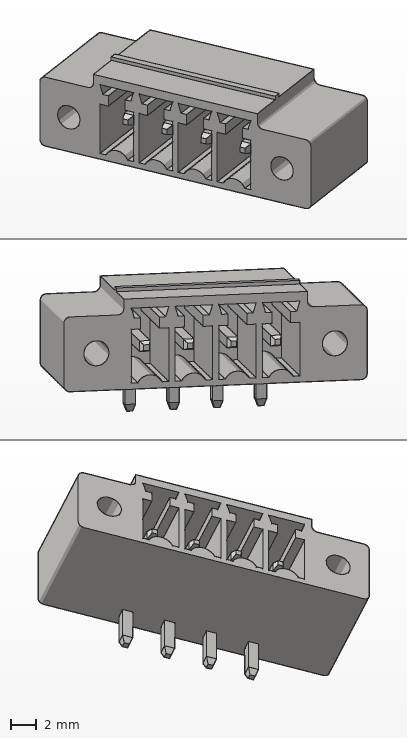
import cadquery as cq

PIN_COUNT = 4
PITCH = 3.5
PIN_WIDTH = 0.85
PIN_TIP_WIDTH = 0.45
PIN_TIP_LENGTH = 0.6
PIN_DROP = 3.4
LEG_TO_BACK = 1.17
PIN_FRONT_GAP = 1.4

LENGTH = 24.3
DEPTH = 9.2
FLANGE_HEIGHT = 6.0
CENTRE_LENGTH = 14.7
CENTRE_HEIGHT = 7.25
CORNER_RADIUS = 0.5
AXIS_HEIGHT = FLANGE_HEIGHT / 2

RIDGE_HEIGHT = 0.3
RIDGE_WIDTH = 0.6
RIDGE_FRONT = 2.9

BACK_WALL = 2.0
INNER_DEPTH = DEPTH - BACK_WALL

HOLE_DIAMETER = 2.0
HOLE_SPACING = 19.1

CAVITY_WIDTH = 3.0
CAVITY_FLOOR = 0.5
SHOULDER_HEIGHT = 4.8
NECK_WIDTH = 1.5
NECK_TOP = 5.7
DOVETAIL_BASE_WIDTH = 2.5
CAVITY_TOP = 6.5
BUMP_WIDTH = 1.96
BUMP_HEIGHT = 0.6

PIN_POSITIONS = [(i - (PIN_COUNT - 1) / 2) * PITCH for i in range(PIN_COUNT)]


def front_plane(x=0):
    """Workplane on the front face, where negative extrusions go inward."""
    return cq.Workplane("XZ", origin=(x, 0, 0))


def make_housing():
    flange = (
        front_plane()
        .rect(LENGTH, FLANGE_HEIGHT)
        .extrude(-DEPTH)
        .translate((0, 0, FLANGE_HEIGHT / 2))
        .edges("|Y")
        .fillet(CORNER_RADIUS)
    )
    centre = (
        front_plane()
        .rect(CENTRE_LENGTH, CENTRE_HEIGHT)
        .extrude(-DEPTH)
        .translate((0, 0, CENTRE_HEIGHT / 2))
    )
    half = CENTRE_LENGTH / 2
    inner_corners = cq.selectors.BoxSelector(
        (-half - CORNER_RADIUS / 2, 0, FLANGE_HEIGHT - CORNER_RADIUS / 2),
        (half + CORNER_RADIUS / 2, DEPTH, FLANGE_HEIGHT + CORNER_RADIUS / 2),
    )
    return flange.union(centre).edges("|Y").edges(inner_corners).fillet(CORNER_RADIUS)


def make_ridge():
    return cq.Workplane("XY").box(
        CENTRE_LENGTH, RIDGE_WIDTH, RIDGE_HEIGHT, centered=(True, False, False)
    ).translate((0, RIDGE_FRONT, CENTRE_HEIGHT))


def make_screw_holes():
    half = HOLE_SPACING / 2
    return (
        front_plane()
        .pushPoints([(-half, AXIS_HEIGHT), (half, AXIS_HEIGHT)])
        .circle(HOLE_DIAMETER / 2)
        .extrude(-INNER_DEPTH)
    )


def make_cavity(x):
    """Keyed plug opening: dovetail slot, neck, contact chamber and rounded floor rib."""
    side = CAVITY_WIDTH / 2
    neck = NECK_WIDTH / 2
    dovetail = DOVETAIL_BASE_WIDTH / 2
    bump = BUMP_WIDTH / 2
    return (
        front_plane(x)
        .moveTo(-side, CAVITY_FLOOR)
        .lineTo(-bump, CAVITY_FLOOR)
        .threePointArc((0, CAVITY_FLOOR + BUMP_HEIGHT), (bump, CAVITY_FLOOR))
        .lineTo(side, CAVITY_FLOOR)
        .lineTo(side, SHOULDER_HEIGHT)
        .lineTo(neck, SHOULDER_HEIGHT)
        .lineTo(neck, NECK_TOP)
        .lineTo(dovetail, NECK_TOP)
        .lineTo(side, CAVITY_TOP)
        .lineTo(-side, CAVITY_TOP)
        .lineTo(-dovetail, NECK_TOP)
        .lineTo(-neck, NECK_TOP)
        .lineTo(-neck, SHOULDER_HEIGHT)
        .lineTo(-side, SHOULDER_HEIGHT)
        .close()
        .extrude(-INNER_DEPTH)
    )


def make_tapered_bar(length):
    """Square bar along +Z from the origin, ending in a tapered tip."""
    shank = length - PIN_TIP_LENGTH
    bar = cq.Workplane("XY").rect(PIN_WIDTH, PIN_WIDTH).extrude(shank)
    tip = (
        cq.Workplane("XY", origin=(0, 0, shank))
        .rect(PIN_WIDTH, PIN_WIDTH)
        .workplane(offset=PIN_TIP_LENGTH)
        .rect(PIN_TIP_WIDTH, PIN_TIP_WIDTH)
        .loft()
    )
    return bar.union(tip)


def make_pin(x):
    """Right-angle pin: contact toward the front, solder leg downward."""
    bend = (x, DEPTH - LEG_TO_BACK, AXIS_HEIGHT)
    x_axis = (1, 0, 0)
    contact = make_tapered_bar(DEPTH - LEG_TO_BACK - PIN_FRONT_GAP)
    contact = contact.rotate((0, 0, 0), x_axis, 90).translate(bend)
    leg = make_tapered_bar(AXIS_HEIGHT + PIN_DROP)
    leg = leg.rotate((0, 0, 0), x_axis, 180).translate(bend)
    return contact.union(leg)


result = make_housing().union(make_ridge()).cut(make_screw_holes())
for pin_x in PIN_POSITIONS:
    result = result.cut(make_cavity(pin_x)).union(make_pin(pin_x))